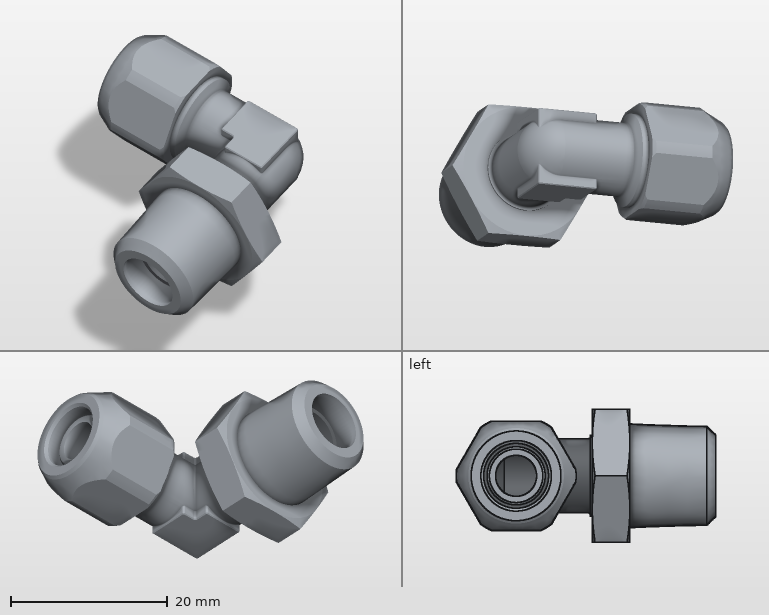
import cadquery as cq
import math


tube_radius = 4.75
body_fillet = 0.23
edge_margin = 0.03

pad_height = 5.0
pad_outer = 2.95
pad_inner = 5.05
pad_notch = 2.95
pad_round = 0.25
pad_bevel = 0.13
pad_foot_fillet = 0.1

collar_radius = 6.0
collar_end = 9.35
collar_cone_start = 10.1

nut_end = 22.5
nut_length = 11.65
nut_flats = 14.0
nut_radius = 7.65
nut_nose_radius = 5.75
nut_nose_length = 0.4
nut_nose_rim_radius = 6.1
nut_cone_length = 3.55
nut_back_chamfer_length = 0.43
nut_back_chamfer_depth = 0.23
nut_start = nut_end - nut_length

socket_radius = 4.15
socket_chamfer = 0.35
socket_depth = 3.98
insert_tip_radius = 3.4
insert_foot_radius = 3.7
insert_depth = 1.7
insert_chamfer = insert_foot_radius - insert_tip_radius
tube_bore_radius = 2.62

flange_flats = 17.0
flange_start = 9.7
flange_width = 4.8
flange_bevel_radius = 8.45
flange_bevel_angle = 15
flange_end = flange_start + flange_width
shoulder_radius = 5.17
shoulder_start = 9.48

thread_end = 25.5
thread_root_radius = 6.63
thread_taper = 1 / 32
thread_chamfer = 1.15
thread_tip_radius = 5.2

mouth_bore_radius = 3.88
mouth_bore_depth = 3.58
thread_bore_radius = 3.25
bore_cone_start = 1.52
bore_tip_angle = 118


def turned_on_x(profile):
    """Solid of revolution from (distance along -X, radius) points."""
    points = [(-distance, radius) for distance, radius in profile]
    return cq.Workplane("XY").polyline(points).close().revolve(360, (0, 0, 0), (1, 0, 0))


def turned_on_y(profile):
    """Solid of revolution from (distance along -Y, radius) points."""
    points = [(radius, -distance) for distance, radius in profile]
    return cq.Workplane("XY").polyline(points).close().revolve(360, (0, 0, 0), (0, 1, 0))


def hexagon(plane, flats, length):
    """Hexagonal prism with two of its flats facing +Z and -Z."""
    return cq.Workplane(plane).polygon(6, flats / math.cos(math.pi / 6)).extrude(length)


def box_around(center, half_size):
    """Selector for edges that lie wholly inside a box."""
    low = tuple(c - h for c, h in zip(center, half_size))
    high = tuple(c + h for c, h in zip(center, half_size))
    return cq.selectors.BoxSelector(low, high, boundingbox=True)


def make_pads():
    outline = [
        (-pad_inner, pad_outer),
        (pad_outer, pad_outer),
        (pad_outer, -pad_inner),
        (-pad_notch, -pad_inner),
        (-pad_notch, -pad_notch),
        (-pad_inner, -pad_notch),
    ]
    block = cq.Workplane("XY").polyline(outline).close().extrude(pad_height, both=True)
    return block.edges("|Z").fillet(pad_round).faces("|Z").edges().chamfer(pad_bevel)


def make_elbow():
    tube_arm = cq.Workplane("YZ").circle(tube_radius).extrude(-nut_start)
    thread_arm = cq.Workplane("XZ").circle(tube_radius).extrude(flange_start)
    corner = cq.Workplane("XY").sphere(tube_radius)
    return tube_arm.union(thread_arm).union(corner)


def make_collar():
    return turned_on_x([
        (nut_start, 0),
        (nut_start, collar_radius),
        (collar_cone_start, collar_radius),
        (collar_end, tube_radius),
        (collar_end, 0),
    ])


def make_shoulder():
    return turned_on_y([
        (shoulder_start, 0),
        (shoulder_start, shoulder_radius),
        (flange_start, shoulder_radius),
        (flange_start, 0),
    ])


def make_body():
    body = make_elbow().union(make_pads()).union(make_collar()).union(make_shoulder())
    reach = tube_radius + edge_margin
    pad_reach = pad_inner + edge_margin
    collar_foot = box_around((-collar_end, 0, 0), (edge_margin, reach, reach))
    shoulder_foot = box_around((0, -shoulder_start, 0), (reach, edge_margin, reach))
    pad_feet = box_around((0, 0, 0), (pad_reach, pad_reach, reach))
    crotch = cq.selectors.TypeSelector("ELLIPSE")
    body = body.edges(crotch).fillet(body_fillet)
    body = body.edges(collar_foot).fillet(body_fillet)
    body = body.edges(shoulder_foot).fillet(body_fillet)
    body = body.edges(pad_feet).fillet(pad_foot_fillet)
    return body


def make_nut():
    blank = turned_on_x([
        (nut_start, 0),
        (nut_start, nut_radius - nut_back_chamfer_depth),
        (nut_start + nut_back_chamfer_length, nut_radius),
        (nut_end - nut_cone_length, nut_radius),
        (nut_end - nut_nose_length, nut_nose_rim_radius),
        (nut_end, nut_nose_radius),
        (nut_end, 0),
    ])
    prism = hexagon("YZ", nut_flats, -nut_end)
    return blank.intersect(prism)


def make_flange():
    corner_radius = flange_flats / math.sqrt(3)
    bevel_length = (corner_radius - flange_bevel_radius) * math.tan(math.radians(flange_bevel_angle))
    blank = turned_on_y([
        (flange_start, 0),
        (flange_start, flange_bevel_radius),
        (flange_start + bevel_length, corner_radius),
        (flange_end - bevel_length, corner_radius),
        (flange_end, flange_bevel_radius),
        (flange_end, 0),
    ])
    prism = hexagon("XZ", flange_flats, flange_end)
    return blank.intersect(prism)


def make_thread():
    chamfer_start = thread_end - thread_chamfer
    chamfer_radius = thread_root_radius - (chamfer_start - flange_end) * thread_taper
    return turned_on_y([
        (flange_end, 0),
        (flange_end, thread_root_radius),
        (chamfer_start, chamfer_radius),
        (thread_end, thread_tip_radius),
        (thread_end, 0),
    ])


def make_tube_bore():
    insert_tip = nut_end - insert_depth
    insert_shoulder = insert_tip - insert_chamfer
    socket_floor = nut_end - socket_depth
    return turned_on_x([
        (nut_end, 0),
        (nut_end, socket_radius + socket_chamfer),
        (nut_end - socket_chamfer, socket_radius),
        (socket_floor, socket_radius),
        (socket_floor, insert_foot_radius),
        (insert_shoulder, insert_foot_radius),
        (insert_tip, insert_tip_radius),
        (insert_tip, tube_bore_radius),
        (0, tube_bore_radius),
        (0, 0),
    ])


def make_thread_bore():
    step = thread_end - mouth_bore_depth
    tip_length = thread_bore_radius / math.tan(math.radians(bore_tip_angle / 2))
    return turned_on_y([
        (thread_end, 0),
        (thread_end, mouth_bore_radius),
        (step, mouth_bore_radius),
        (step, thread_bore_radius),
        (-bore_cone_start, thread_bore_radius),
        (-bore_cone_start - tip_length, 0),
    ])


result = (
    make_body()
    .union(make_nut())
    .union(make_flange())
    .union(make_thread())
    .cut(make_tube_bore())
    .cut(make_thread_bore())
)